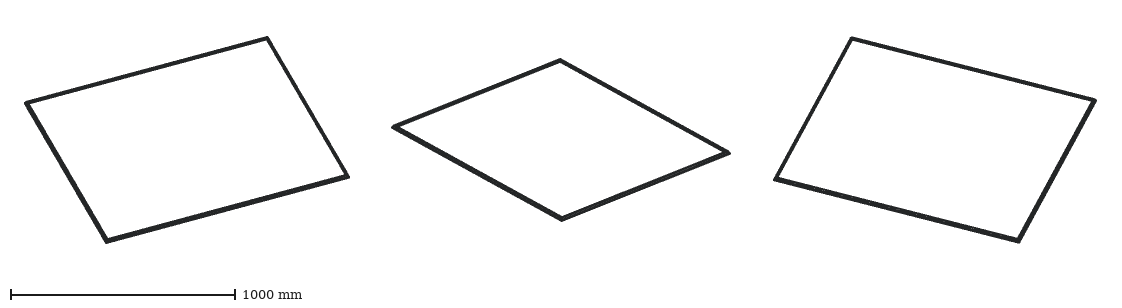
import cadquery as cq
import math

length_x = 988.0
length_y = 1168.0
height = 12.0
flange_height = 2.0
wall_lean = 10.0

wall_top_outer_inset = 5.3
wall_top_inner_inset = 11.1


def inset_at(z, top_inset):
    """Inset at height z of a wall face that reaches top_inset at the top."""
    return top_inset - (height - z) * math.tan(math.radians(wall_lean))


def leaning_block(top_inset, bottom_z):
    """Solid block up to the top of the frame, with all four sides leaning inward."""
    bottom_inset = inset_at(bottom_z, top_inset)
    return (
        cq.Workplane("XY", origin=(0, 0, bottom_z))
        .rect(length_x - 2 * bottom_inset, length_y - 2 * bottom_inset)
        .workplane(offset=height - bottom_z)
        .rect(length_x - 2 * top_inset, length_y - 2 * top_inset)
        .loft(ruled=True)
    )


flange = cq.Workplane("XY").rect(length_x, length_y).extrude(flange_height)
wall_block = leaning_block(wall_top_outer_inset, flange_height)
opening = leaning_block(wall_top_inner_inset, 0)

result = flange.union(wall_block).cut(opening)